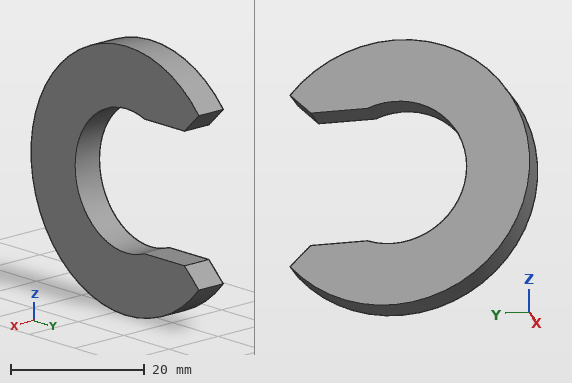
import cadquery as cq
import math

thickness = 5.0
outer_radius = 21.0
bore_radius = 11.25
slot_half_width = 10.5
tip_y = 16.0
lead_in_y = 12.8

tip_z = math.sqrt(outer_radius**2 - tip_y**2)
slot_bore_y = math.sqrt(bore_radius**2 - slot_half_width**2)

profile = (
    cq.Workplane("YZ")
    .moveTo(tip_y, tip_z)
    .threePointArc((-outer_radius, 0), (tip_y, -tip_z))
    .lineTo(lead_in_y, -slot_half_width)
    .lineTo(slot_bore_y, -slot_half_width)
    .threePointArc((-bore_radius, 0), (slot_bore_y, slot_half_width))
    .lineTo(lead_in_y, slot_half_width)
    .close()
)

result = profile.extrude(thickness / 2, both=True)